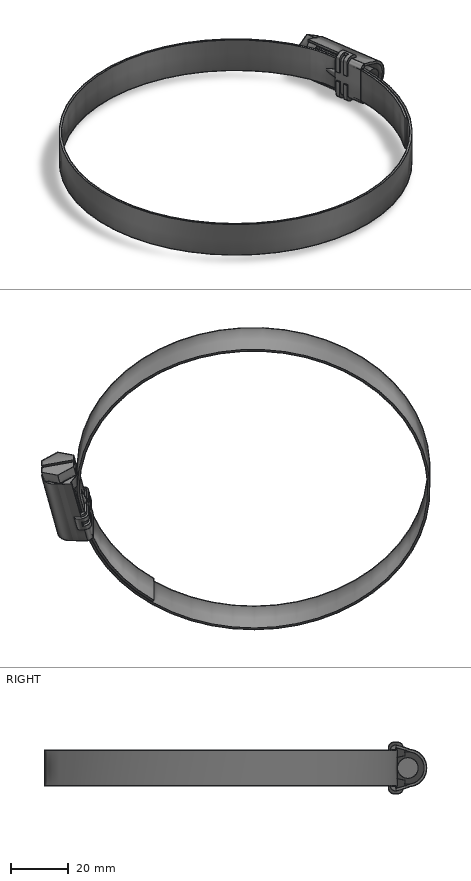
import cadquery as cq
import math


BAND_DIAMETER = 122.4
BAND_RADIUS = BAND_DIAMETER / 2
BAND_THICKNESS = 0.8
BAND_WIDTH = 12.5
LAYER_PITCH = 1.0
BLEND_RADIUS = 26.5
FREE_END_X = -13.7
TAIL_ANGLE = 41.8
BUMP_LENGTH = 11.1
BUMP_RADIUS = 2.3
BUMP_AXIS_DROP = 0.5

HOUSING_LEFT = -17.4
HOUSING_RIGHT = 8.0
OVERALL_HEIGHT = 132.6
HOUSING_TOP = OVERALL_HEIGHT - BAND_RADIUS
ROOF_RADIUS = 6.5
WALL = 0.9
SHOULDER_Y = 65.8
WALL_KINK_Y = 63.8
WALL_KINK_Z = 7.2
RAIL_Y = 60.7
RAIL_HALF_WIDTH = 8.0
LIP_TOP = 61.1
LIP_BOTTOM = 58.9
LIP_INNER_Z = 3.2
LIP_FILL_Z = 4.2
ROOF_CENTER_Y = HOUSING_TOP - ROOF_RADIUS
BORE_RADIUS = ROOF_RADIUS - WALL

SADDLE_LEFT = -3.5
SADDLE_BOTTOM = 58.6
SADDLE_FLOOR = 0.7
BAND_CLEARANCE = 0.07
CHANNEL_HALF_WIDTH = BAND_WIDTH / 2 + BAND_CLEARANCE
STRAP_LEFT = -2.7
STRAP_RIGHT = 2.3
STRAP_WIDTH = 1.6
STRAP_HALF_SPAN = 9.0
STRAP_TOP = 63.3
STRAP_BOTTOM = 58.1
STRAP_FILLET = 2.1
STRAP_INNER_Z = 1.9
BRIDGE_BOTTOM = 60.9

SCREW_Y = 64.9
HEAD_LEFT = -21.2
HEAD_FLATS = 11.4
SLOT_WIDTH = 1.2
SLOT_DEPTH = 1.3
COLLAR_LENGTH = 2.0
SHAFT_RADIUS = 3.6


def extrude_x(profile, start, end):
    """Extrude a (y, z) profile drawn in the YZ plane between two X positions."""
    return profile.extrude(end - start).translate((start, 0, 0))


def box_between(low, high):
    size = [b - a for a, b in zip(low, high)]
    return cq.Workplane("XY").box(*size, centered=False).translate(low)


def band_arc(center, radius, start, end):
    """Band stretch about center; angles in degrees clockwise from +Y."""
    def point(distance, angle):
        turn = math.radians(angle)
        return (center[0] + distance * math.sin(turn), center[1] + distance * math.cos(turn))

    outer = radius + BAND_THICKNESS / 2
    inner = radius - BAND_THICKNESS / 2
    middle = (start + end) / 2
    return (
        cq.Workplane("XY").workplane(offset=-BAND_WIDTH / 2)
        .moveTo(*point(outer, start))
        .threePointArc(point(outer, middle), point(outer, end))
        .lineTo(*point(inner, end))
        .threePointArc(point(inner, middle), point(inner, start))
        .close().extrude(BAND_WIDTH)
    )


def band_straight(left, right, y):
    return box_between(
        (left, y - BAND_THICKNESS / 2, -BAND_WIDTH / 2),
        (right, y + BAND_THICKNESS / 2, BAND_WIDTH / 2),
    )


def make_band():
    ring_radius = BAND_RADIUS - BAND_THICKNESS / 2
    inner_radius = ring_radius - LAYER_PITCH
    center_offset = ring_radius - BLEND_RADIUS
    blend = math.acos(1 - LAYER_PITCH / center_offset)
    blend_angle = math.degrees(blend)
    blend_center = (-center_offset * math.sin(blend), center_offset * math.cos(blend))

    band = band_arc((0, 0), ring_radius, 0, 360 - blend_angle)
    band = band.union(band_straight(FREE_END_X, 0, ring_radius))
    band = band.union(band_arc(blend_center, BLEND_RADIUS, -blend_angle, 0))
    band = band.union(band_straight(blend_center[0], 0, inner_radius))
    band = band.union(band_arc((0, 0), inner_radius, 0, TAIL_ANGLE))

    axis_start = cq.Vector(SADDLE_LEFT - BUMP_LENGTH, BAND_RADIUS - BUMP_AXIS_DROP, 0)
    cone = cq.Solid.makeCone(0, BUMP_RADIUS, BUMP_LENGTH, axis_start, cq.Vector(1, 0, 0))
    below_band = box_between(
        (SADDLE_LEFT - BUMP_LENGTH, STRAP_BOTTOM, -BUMP_RADIUS),
        (SADDLE_LEFT, inner_radius, BUMP_RADIUS),
    )
    return band.union(cq.Workplane(cone).intersect(below_band))


def arch(roof_radius, inset):
    """Closed housing section down to the rails, moved inward by inset."""
    shoulder_z = math.sqrt(roof_radius ** 2 - (SHOULDER_Y - ROOF_CENTER_Y) ** 2)
    kink_z = WALL_KINK_Z - inset
    rail_z = RAIL_HALF_WIDTH - inset
    return (
        cq.Workplane("YZ").moveTo(RAIL_Y, -rail_z)
        .lineTo(WALL_KINK_Y, -kink_z)
        .lineTo(SHOULDER_Y, -shoulder_z)
        .threePointArc((ROOF_CENTER_Y + roof_radius, 0), (SHOULDER_Y, shoulder_z))
        .lineTo(WALL_KINK_Y, kink_z)
        .lineTo(RAIL_Y, rail_z)
        .close()
    )


def make_collar():
    """Screw collar that fills the round part of the housing bore behind the head."""
    profile = cq.Workplane("YZ").center(ROOF_CENTER_Y, 0).circle(BORE_RADIUS)
    return extrude_x(profile, HOUSING_LEFT, HOUSING_LEFT + COLLAR_LENGTH)


def housing_envelope():
    return extrude_x(arch(ROOF_RADIUS, 0), HOUSING_LEFT, HOUSING_RIGHT)


def make_housing():
    cavity = extrude_x(arch(BORE_RADIUS, WALL), HOUSING_LEFT, HOUSING_RIGHT)
    housing = housing_envelope().cut(cavity)
    for side in (-1, 1):
        lip = cq.Workplane("YZ").polyline([
            (LIP_BOTTOM, side * LIP_INNER_Z),
            (LIP_TOP, side * (RAIL_HALF_WIDTH - WALL)),
            (WALL_KINK_Y, side * (WALL_KINK_Z - WALL)),
            (WALL_KINK_Y, side * LIP_FILL_Z),
        ]).close()
        housing = housing.union(extrude_x(lip, HOUSING_LEFT, FREE_END_X))
    ring_disk = cq.Workplane("XY").circle(BAND_RADIUS).extrude(BAND_WIDTH / 2, both=True)
    housing = housing.cut(ring_disk).cut(make_collar())
    return housing


def make_saddle_channel():
    corner = RAIL_Y - SADDLE_BOTTOM
    flat_z = RAIL_HALF_WIDTH - corner
    bend = corner * math.sqrt(0.5)
    profile = (
        cq.Workplane("YZ").moveTo(RAIL_Y, -RAIL_HALF_WIDTH)
        .threePointArc((RAIL_Y - bend, -flat_z - bend), (SADDLE_BOTTOM, -flat_z))
        .lineTo(SADDLE_BOTTOM, flat_z)
        .threePointArc((RAIL_Y - bend, flat_z + bend), (RAIL_Y, RAIL_HALF_WIDTH))
        .close()
    )
    return extrude_x(profile, SADDLE_LEFT, HOUSING_RIGHT)


def make_strap(side):
    """Pair of straps on one side, joined by a bridge over the housing rail."""
    middle_y = (STRAP_TOP + STRAP_BOTTOM) / 2
    height = STRAP_TOP - STRAP_BOTTOM
    depth = STRAP_HALF_SPAN - STRAP_INNER_Z
    profile = cq.Workplane("YZ").center(middle_y, side * (STRAP_INNER_Z + depth / 2)).rect(height, depth)
    strap = extrude_x(profile, STRAP_LEFT, STRAP_RIGHT)
    outer_edge = ">Z" if side > 0 else "<Z"
    strap = strap.faces(outer_edge).edges("|X").fillet(STRAP_FILLET)
    gap = box_between(
        (STRAP_LEFT + STRAP_WIDTH, STRAP_BOTTOM, -STRAP_HALF_SPAN),
        (STRAP_RIGHT - STRAP_WIDTH, BRIDGE_BOTTOM, STRAP_HALF_SPAN),
    )
    return strap.cut(gap)


def make_saddle(band):
    saddle = make_saddle_channel()
    for side in (-1, 1):
        saddle = saddle.union(make_strap(side))
    channel = box_between(
        (SADDLE_LEFT, SADDLE_BOTTOM + SADDLE_FLOOR, -CHANNEL_HALF_WIDTH),
        (HOUSING_RIGHT, STRAP_TOP, CHANNEL_HALF_WIDTH),
    )
    return saddle.cut(channel).cut(housing_envelope()).cut(band)


def make_screw():
    corner_diameter = HEAD_FLATS / math.cos(math.pi / 6)
    hexagon = (
        cq.Workplane("YZ").center(SCREW_Y, 0)
        .transformed(rotate=(0, 0, 90)).polygon(6, corner_diameter)
    )
    head = extrude_x(hexagon, HEAD_LEFT, HOUSING_LEFT)
    slot = box_between(
        (HEAD_LEFT, SCREW_Y - HEAD_FLATS / 2, -SLOT_WIDTH / 2),
        (HEAD_LEFT + SLOT_DEPTH, SCREW_Y + HEAD_FLATS / 2, SLOT_WIDTH / 2),
    )
    shaft_profile = cq.Workplane("YZ").center(SCREW_Y, 0).circle(SHAFT_RADIUS)
    shaft = extrude_x(shaft_profile, HOUSING_LEFT, HOUSING_RIGHT)
    return head.cut(slot).union(make_collar()).union(shaft)


band = make_band()
housing = make_housing()
saddle = make_saddle(band)
screw = make_screw()
result = cq.Compound.makeCompound([
    band.solids().val(), housing.solids().val(), saddle.solids().val(), screw.solids().val(),
])